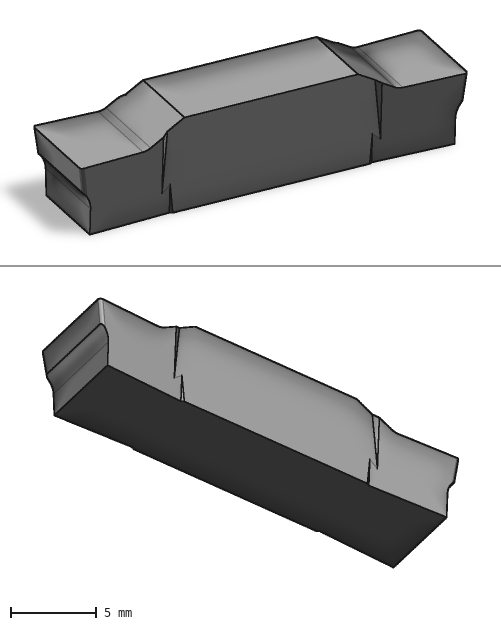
import cadquery as cq
import math

HALF_LENGTH = 12.78
HEIGHT = 6.13
TIP_HALF_WIDTH = 3.01
BODY_HALF_WIDTH = 2.6
CORE_HALF_WIDTH = 2.05

LEDGE_Z = 4.65
CREST_HALF_LENGTH = 5.72
CREST_SLOPE = 30.0
LEDGE_FILLET = 1.02
RELIEF_ANGLE = 7.0
RELIEF_BOTTOM_Z = 2.9
BASE_HALF_LENGTH = 12.03
BASE_TOP_Z = 1.76

PLAN_TAPER = 2.5
SIDE_RELIEF = 3.0
CORNER_RADIUS = 0.2
EDGE_CLEARANCE = 0.25
HEAD_RAMP_Y = 7.2
BODY_RAMP_Y = 6.67
RAMP_ANGLE = 30.0
CUT_DEPTH = 0.5


def tangent(degrees):
    return math.tan(math.radians(degrees))


def head_half_width(y, z):
    plan_loss = (HALF_LENGTH - y) * tangent(PLAN_TAPER)
    relief_loss = (LEDGE_Z - z) * tangent(SIDE_RELIEF)
    return TIP_HALF_WIDTH - plan_loss - relief_loss


def loft_sections(section):
    """Loft a plan section, given as a function of height, over the full height."""
    bottom = cq.Workplane("XY").polyline(section(0)).close()
    return bottom.workplane(offset=HEIGHT).polyline(section(HEIGHT)).close().loft(ruled=True)


def head_section(z):
    tip = head_half_width(HALF_LENGTH, z)
    root = head_half_width(HEAD_RAMP_Y, z)
    ramp_end = HEAD_RAMP_Y - (root - CORE_HALF_WIDTH) / tangent(RAMP_ANGLE)
    right = [(tip, HALF_LENGTH), (root, HEAD_RAMP_Y), (CORE_HALF_WIDTH, ramp_end)]
    return right + [(-x, y) for x, y in reversed(right)]


def side_cut_section(z):
    tip = head_half_width(HALF_LENGTH, z)
    root = head_half_width(BODY_RAMP_Y, z)
    ramp_end = BODY_RAMP_Y - CUT_DEPTH / tangent(RAMP_ANGLE)
    return [
        (tip, HALF_LENGTH),
        (root, BODY_RAMP_Y),
        (root + CUT_DEPTH, ramp_end),
        (tip + CUT_DEPTH, HALF_LENGTH),
    ]


def both_ends(shape):
    return shape.union(shape.mirror("XZ"))


def lengthwise_outline():
    """Side outline of one half, extruded across the width and mirrored to the other."""
    ledge_end = CREST_HALF_LENGTH + (HEIGHT - LEDGE_Z) / tangent(CREST_SLOPE)
    fillet_reach = LEDGE_FILLET * tangent(CREST_SLOPE / 2)
    slope = math.radians(CREST_SLOPE)
    fillet_top = (
        ledge_end - fillet_reach * math.cos(slope),
        LEDGE_Z + fillet_reach * math.sin(slope),
    )
    fillet_start = (ledge_end + fillet_reach, LEDGE_Z)
    relief_bottom = (
        HALF_LENGTH - (LEDGE_Z - RELIEF_BOTTOM_Z) * tangent(RELIEF_ANGLE),
        RELIEF_BOTTOM_Z,
    )
    half = (
        cq.Workplane("YZ")
        .lineTo(BASE_HALF_LENGTH, 0)
        .lineTo(BASE_HALF_LENGTH, BASE_TOP_Z)
        .tangentArcPoint(relief_bottom, relative=False)
        .lineTo(HALF_LENGTH, LEDGE_Z)
        .lineTo(*fillet_start)
        .tangentArcPoint(fillet_top, relative=False)
        .lineTo(CREST_HALF_LENGTH, HEIGHT)
        .lineTo(0, HEIGHT)
        .close()
        .extrude(HEIGHT, both=True)
    )
    return both_ends(half)


body = cq.Workplane("XY").box(
    2 * BODY_HALF_WIDTH, 2 * HEAD_RAMP_Y, HEIGHT, centered=(True, True, False)
)
side_cut = loft_sections(side_cut_section)
body = body.cut(both_ends(side_cut)).cut(both_ends(side_cut.mirror("YZ")))

blank = body.union(both_ends(loft_sections(head_section))).intersect(lengthwise_outline())

result = blank
for end in (-1, 1):
    tip_zone = cq.selectors.BoxSelector(
        (-HEIGHT, end * BASE_HALF_LENGTH, RELIEF_BOTTOM_Z + EDGE_CLEARANCE),
        (HEIGHT, end * HALF_LENGTH, LEDGE_Z - EDGE_CLEARANCE),
    )
    result = result.edges(tip_zone).fillet(CORNER_RADIUS)